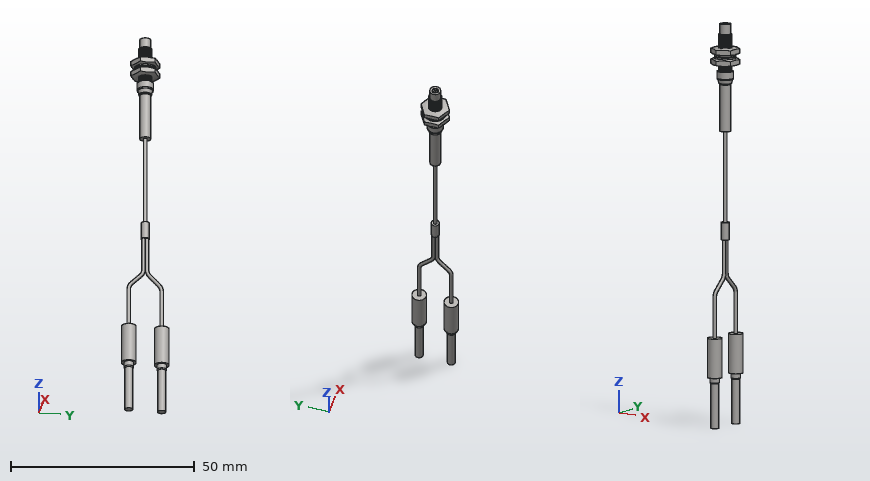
import cadquery as cq
import math

total_length = 111.3

tip_diameter = 3.0
tip_length = 2.8
thread_diameter = 3.8
thread_depth = 0.17
thread_turns = 31
collar_top = 13.1
collar_bottom = 15.4
collar_diameter = 4.6
collar_chamfer_height = 0.3
collar_chamfer_width = 0.1
cone_top_diameter = 4.0
cone_end_diameter = 3.6
cone_bottom = 16.5
neck_diameter = 2.9
neck_bottom = 16.8
head_bottom = 29.7

bore_diameter = 1.7
bore_depth = 0.3
core_diameter = 0.7
core_spacing = 0.8

hex_across_flats = 7.0
nut_thickness = 2.0
nut_face_diameter = 5.0
nut_chamfer_angle = 15.0
corner_turn = 30.0
upper_nut_top = 6.5
washer_diameter = 5.9
washer_thickness = 1.0
washer_groove_depth = 0.1
washer_groove_width = 0.2

cable_diameter = 1.0
ferrule_diameter = 2.2
ferrule_top = 55.0
ferrule_bottom = 59.8
leg_diameter = 1.0
leg_start_offset = 0.49
leg_end_offset = 4.6
bend_start = 69.0
bend_radius = 2.6
bend_angle = 45.0

sleeve_diameter = 4.0
sleeve_top = 86.4
sleeve_bottom = 97.3
step_diameter = 2.7
step_bottom = 98.6
step_cone_bottom = 98.9
pin_diameter = 2.2

sides = (-1, 1)


def height(station):
    """Z coordinate of a station below the tip."""
    return total_length - station


def rod(diameter, top, bottom, x=0.0, y=0.0):
    """Vertical round rod between two stations."""
    return cq.Workplane("XY", origin=(x, y, height(bottom))).circle(diameter / 2).extrude(bottom - top)


def cone(top_diameter, bottom_diameter, top, bottom, y=0.0):
    """Vertical truncated cone between two stations."""
    return (
        cq.Workplane("XY", origin=(0, y, height(top)))
        .circle(top_diameter / 2)
        .workplane(offset=top - bottom)
        .circle(bottom_diameter / 2)
        .loft(ruled=True)
    )


def revolved(points):
    """Solid of revolution about Z from a closed outline of (radius, z) points."""
    return cq.Workplane("XZ").polyline(points).close().revolve(360, (0, 0, 0), (0, 1, 0))


def make_threaded_rod():
    """Thread simplified to evenly spaced V-shaped rings."""
    crest = thread_diameter / 2
    root = crest - thread_depth
    pitch = (collar_top - tip_length) / thread_turns
    points = [(0, height(tip_length)), (root, height(tip_length))]
    for turn in range(thread_turns):
        start = tip_length + turn * pitch
        points.append((crest, height(start + pitch / 2)))
        points.append((root, height(start + pitch)))
    points.append((0, height(collar_top)))
    return revolved(points)


def make_tip():
    """Plain tip with a shallow recess around the two fibre cores."""
    recess = rod(bore_diameter, 0, bore_depth)
    for side in sides:
        recess = recess.cut(rod(core_diameter, 0, bore_depth, x=side * core_spacing / 2))
    return rod(tip_diameter, 0, tip_length).cut(recess)


def make_collar():
    """Collar with a chamfered lower edge, tapering towards the neck."""
    collar = rod(collar_diameter, collar_top, collar_bottom)
    collar = collar.faces("<Z").chamfer(collar_chamfer_height, collar_chamfer_width)
    return collar.union(cone(cone_top_diameter, cone_end_diameter, collar_bottom, cone_bottom))


def make_head():
    head = make_tip().union(make_threaded_rod()).union(make_collar())
    head = head.union(rod(neck_diameter, cone_bottom, neck_bottom))
    return head.union(rod(tip_diameter, neck_bottom, head_bottom))


def bend_travel(angle):
    """Sideways and downward travel along a bend after turning through an angle in radians."""
    return bend_radius * (1 - math.cos(angle)), bend_radius * math.sin(angle)


def make_leg(side):
    """Fibre leg from the ferrule to its connector, bent out and then back to vertical."""
    full_bend = math.radians(bend_angle)
    mid_side, mid_drop = bend_travel(full_bend / 2)
    end_side, end_drop = bend_travel(full_bend)
    straight_run = leg_end_offset - leg_start_offset - 2 * end_side
    bend_end = bend_start + 2 * end_drop + straight_run / math.tan(full_bend)
    y_start = side * leg_start_offset
    y_end = side * leg_end_offset
    path = (
        cq.Workplane("YZ")
        .moveTo(y_start, height(ferrule_bottom))
        .lineTo(y_start, height(bend_start))
        .threePointArc(
            (y_start + side * mid_side, height(bend_start + mid_drop)),
            (y_start + side * end_side, height(bend_start + end_drop)),
        )
        .lineTo(y_end - side * end_side, height(bend_end - end_drop))
        .threePointArc(
            (y_end - side * mid_side, height(bend_end - mid_drop)),
            (y_end, height(bend_end)),
        )
        .lineTo(y_end, height(sleeve_top))
    )
    start_plane = cq.Workplane("XY", origin=(0, y_start, height(ferrule_bottom)))
    return start_plane.circle(leg_diameter / 2).sweep(path)


def make_connector(y):
    connector = rod(sleeve_diameter, sleeve_top, sleeve_bottom, y=y)
    connector = connector.union(rod(step_diameter, sleeve_bottom, step_bottom, y=y))
    connector = connector.union(cone(step_diameter, pin_diameter, step_bottom, step_cone_bottom, y))
    return connector.union(rod(pin_diameter, step_cone_bottom, total_length, y=y))


def make_sensor():
    """Head, cable, ferrule, legs and connectors as one body."""
    sensor = make_head()
    sensor = sensor.union(rod(cable_diameter, head_bottom, ferrule_top))
    sensor = sensor.union(rod(ferrule_diameter, ferrule_top, ferrule_bottom))
    for side in sides:
        sensor = sensor.union(make_leg(side))
        sensor = sensor.union(make_connector(side * leg_end_offset))
    return sensor


def make_nut(top):
    """Hex nut with both faces chamfered and a plain bore that fits the thread crests."""
    corner = hex_across_flats / math.sqrt(3)
    face_radius = nut_face_diameter / 2
    drop = (corner - face_radius) * math.tan(math.radians(nut_chamfer_angle))
    bottom = top + nut_thickness
    blank = (
        cq.Workplane("XY", origin=(0, 0, height(bottom)))
        .polygon(6, 2 * corner)
        .extrude(nut_thickness)
        .rotate((0, 0, 0), (0, 0, 1), corner_turn)
    )
    chamfer_envelope = revolved([
        (0, height(bottom)),
        (face_radius, height(bottom)),
        (corner, height(bottom - drop)),
        (corner, height(top + drop)),
        (face_radius, height(top)),
        (0, height(top)),
    ])
    return blank.intersect(chamfer_envelope).cut(rod(thread_diameter, top, bottom))


def make_washer(top):
    """Washer with a narrow groove around the middle of its rim."""
    bottom = top + washer_thickness
    middle = top + washer_thickness / 2
    groove_top = middle - washer_groove_width / 2
    groove_bottom = middle + washer_groove_width / 2
    groove = rod(washer_diameter, groove_top, groove_bottom).cut(
        rod(washer_diameter - 2 * washer_groove_depth, groove_top, groove_bottom)
    )
    return rod(washer_diameter, top, bottom).cut(rod(thread_diameter, top, bottom)).cut(groove)


washer_top = upper_nut_top + nut_thickness
lower_nut_top = washer_top + washer_thickness

sensor = make_sensor()
washer = make_washer(washer_top)
nuts = [make_nut(top) for top in (upper_nut_top, lower_nut_top)]

result = cq.Compound.makeCompound([sensor.val(), washer.val(), *[nut.val() for nut in nuts]])